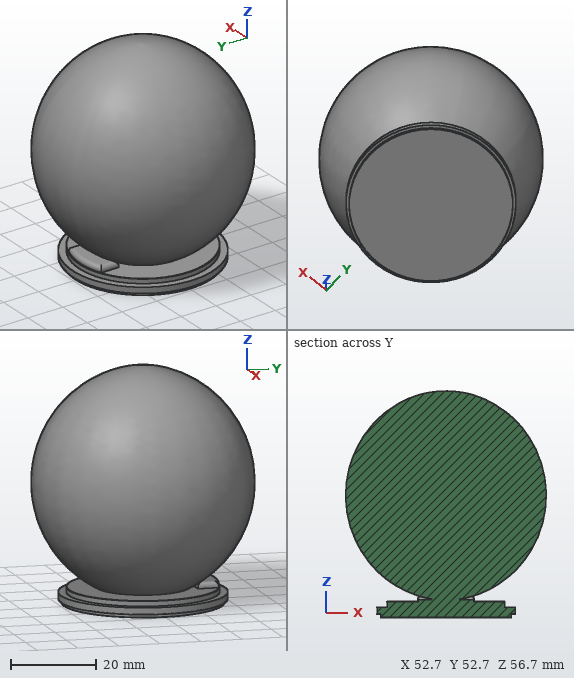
import cadquery as cq
import math

foot_diameter = 38.5
foot_top = 0.85
flange_diameter = 40.0
flange_top = 2.5
plate_diameter = 36.2
plate_top = 3.8

plate_rim_chamfer = 0.095

globe_diameter = 52.7
globe_top = 56.7
globe_arc_radius = 28.0
arc_centre_offset = globe_arc_radius - globe_diameter / 2
equator_height = globe_top - math.sqrt(globe_arc_radius**2 - arc_centre_offset**2)
neck_drop = equator_height - plate_top
neck_radius = math.sqrt(globe_arc_radius**2 - neck_drop**2) - arc_centre_offset

tab_outer_diameter = 35.8
tab_width = 13.25
tab_inner_y = 11.55
tab_height = 1.5
tab_edge_radius = 1.1


def disc(diameter, bottom, top):
    return cq.Workplane("XY").workplane(offset=bottom).circle(diameter / 2).extrude(top - bottom)


def make_base():
    foot = disc(foot_diameter, 0, foot_top)
    flange = disc(flange_diameter, foot_top, flange_top)
    plate = disc(plate_diameter, flange_top, plate_top).faces(">Z").edges().chamfer(plate_rim_chamfer)
    return foot.union(flange).union(plate)


def make_globe():
    half_profile = (
        cq.Workplane("XZ")
        .moveTo(0, plate_top)
        .lineTo(neck_radius, plate_top)
        .threePointArc((globe_diameter / 2, equator_height), (0, globe_top))
        .close()
    )
    return half_profile.revolve(360, (0, 0, 0), (0, 1, 0))


def make_tab():
    tab_length = tab_outer_diameter / 2 - tab_inner_y
    block = (
        cq.Workplane("XY")
        .box(tab_width, tab_length, tab_height, centered=(True, False, False))
        .translate((0, tab_inner_y, plate_top))
    )
    tab = block.intersect(disc(tab_outer_diameter, plate_top, plate_top + tab_height))
    return tab.faces(">Z").edges().fillet(tab_edge_radius)


result = make_base().union(make_globe()).union(make_tab())